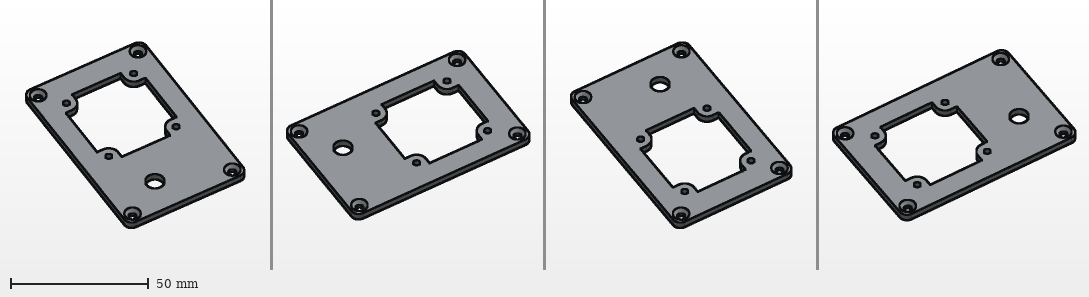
import cadquery as cq

length = 75
width = 50.0
thickness = 3
corner_radius = 3

screw_inset = 4.0
screw_diameter = 3
countersink_diameter = 6
countersink_angle = 90

window_x = -10.0
window_length = 35.25
window_width = 33.45
ear_size = 6.5
ear_radius = 4.0
ear_hole_diameter = 2.5

knob_x = 24.1
knob_y = -6
knob_diameter = 7.0


def make_plate():
    plate = cq.Workplane("XY").box(length, width, thickness)
    return plate.edges("|Z").fillet(corner_radius)


def make_window():
    """Cross-shaped cutter whose inner corners follow the rounded ears."""
    long_bar = cq.Workplane("XY").box(window_length, window_width - 2 * ear_size, thickness)
    wide_bar = cq.Workplane("XY").box(window_length - 2 * ear_size, window_width, thickness)
    cross = long_bar.union(wide_bar)

    tip_x = window_length / 2 - ear_size
    tip_y = window_width / 2 - ear_size
    margin = ear_size / 2
    tip_zone = cq.selectors.BoxSelector(
        (-tip_x - margin, -tip_y - margin, -thickness),
        (tip_x + margin, tip_y + margin, thickness),
    )
    return cross.edges("|Z").edges(tip_zone).fillet(ear_radius).translate((window_x, 0, 0))


def cut_corner_screws(body):
    return (
        body.faces(">Z")
        .workplane(origin=(0, 0, 0))
        .rect(length - 2 * screw_inset, width - 2 * screw_inset, forConstruction=True)
        .vertices()
        .cskHole(screw_diameter, countersink_diameter, countersink_angle)
    )


def cut_ear_holes(body):
    hole_inset = ear_size - ear_radius
    return (
        body.faces(">Z")
        .workplane(origin=(window_x, 0, 0))
        .rect(window_length - 2 * hole_inset, window_width - 2 * hole_inset, forConstruction=True)
        .vertices()
        .hole(ear_hole_diameter)
    )


def cut_knob_hole(body):
    return body.faces(">Z").workplane(origin=(knob_x, knob_y, 0)).hole(knob_diameter)


panel = make_plate().cut(make_window())
panel = cut_corner_screws(panel)
panel = cut_ear_holes(panel)
result = cut_knob_hole(panel)